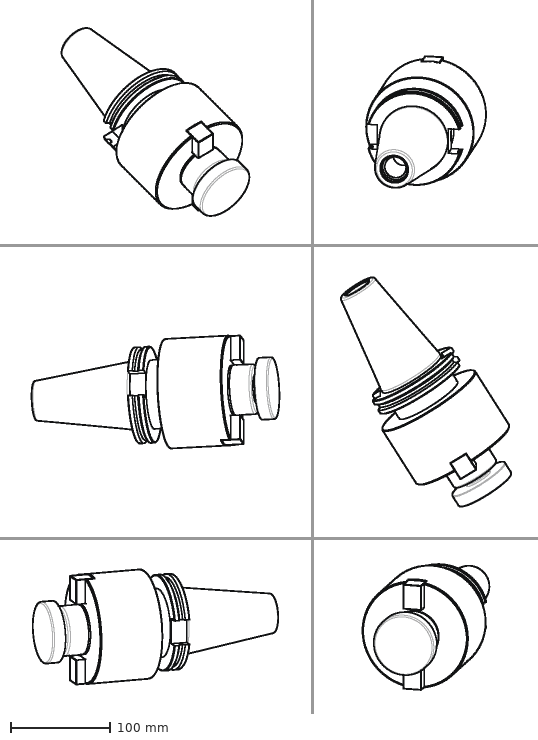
import cadquery as cq
import math

overall_length = 245.5

taper_length = 101.5
gauge_diameter = 69.8
taper_ratio = 7 / 24
taper_end_diameter = gauge_diameter - taper_ratio * taper_length
taper_end_fillet = 2.0

flange_start = 104.6
flange_width = 16.5
flange_end = flange_start + flange_width
flange_diameter = 97.5
flange_chamfer = 0.7
groove_floor_diameter = 91.4
groove_floor_width = 3.2
groove_half_angle = 30.0

slot_width = 25.8
slot_floor_front = 35.4
slot_floor_back = 37.5

body_start = 136.5
body_end = 203.1
body_diameter = 111.0
body_back_chamfer = 0.7
body_front_chamfer = 1.2
pilot_end = 227.0
pilot_diameter = 50.8
relief_diameter = 50.4
relief_width = 2.0
pilot_fillet = 2.0

bore_mouth_diameter = 29.0
bore_diameter = 26.8
seat_diameter = 26.3
seat_start = 3.7
bore_depth = 6.5
thread_diameter = 21.9
thread_depth = 49.1

key_start = 193.3
key_end = 213.2
key_width = 19.2
key_inner = 29.0
key_outer = 54.5
key_chamfer = 0.5

head_start = 231.9
head_diameter = 63.0
head_back_fillet = 0.7
head_front_fillet = 1.5
neck_diameter = 25.3
neck_fillet = 1.5
shank_diameter = neck_diameter + 2 * neck_fillet
shank_depth = 36.8


def cylinder(start, end, diameter):
    """A cylinder on the X axis."""
    return cq.Workplane("YZ", origin=(start, 0, 0)).circle(diameter / 2).extrude(end - start)


def turned(points):
    """A solid of revolution about the X axis from (x, radius) points."""
    return cq.Workplane("XY").polyline(points).close().revolve(360, (0, 0, 0), (1, 0, 0))


def make_taper():
    taper = turned([
        (0, 0),
        (0, taper_end_diameter / 2),
        (taper_length, gauge_diameter / 2),
        (taper_length, 0),
    ])
    return taper.faces("<X").edges().fillet(taper_end_fillet)


def make_flange():
    flange = cylinder(flange_start, flange_end, flange_diameter).edges().chamfer(flange_chamfer)

    middle = (flange_start + flange_end) / 2
    groove_depth = (flange_diameter - groove_floor_diameter) / 2
    floor_half = groove_floor_width / 2
    mouth_half = floor_half + groove_depth * math.tan(math.radians(groove_half_angle))
    groove = turned([
        (middle - mouth_half, flange_diameter / 2),
        (middle - floor_half, groove_floor_diameter / 2),
        (middle + floor_half, groove_floor_diameter / 2),
        (middle + mouth_half, flange_diameter / 2),
    ])
    flange = flange.cut(groove)

    for side, floor in ((-1, slot_floor_front), (1, slot_floor_back)):
        slot_depth = flange_diameter / 2 - floor
        slot = cq.Workplane("XY").box(flange_width, slot_depth, slot_width)
        flange = flange.cut(slot.translate((middle, side * (floor + slot_depth / 2), 0)))
    return flange


def make_body():
    body = cylinder(body_start, body_end, body_diameter)
    body = body.faces("<X").edges().chamfer(body_back_chamfer)
    return body.faces(">X").edges().chamfer(body_front_chamfer)


def make_pilot():
    relief = cylinder(body_end, body_end + relief_width, relief_diameter)
    pilot = cylinder(body_end + relief_width, pilot_end, pilot_diameter)
    return relief.union(pilot.faces(">X").edges().fillet(pilot_fillet))


def make_pull_stud_bore():
    mouth_depth = (bore_mouth_diameter - bore_diameter) / 2
    return turned([
        (0, 0),
        (0, bore_mouth_diameter / 2),
        (mouth_depth, bore_diameter / 2),
        (seat_start, bore_diameter / 2),
        (bore_depth, seat_diameter / 2),
        (bore_depth, thread_diameter / 2),
        (thread_depth, thread_diameter / 2),
        (thread_depth, 0),
    ])


def key_block(side):
    """A key before chamfering, on the +Z (side = 1) or -Z (side = -1) side."""
    length = key_end - key_start
    height = key_outer - key_inner
    block = cq.Workplane("XY").box(length, key_width, height)
    return block.translate((key_start + length / 2, 0, side * (key_inner + height / 2)))


def make_key(side):
    """A key with chamfers around its front face and its outer face."""
    outer_face = ">Z" if side > 0 else "<Z"
    return key_block(side).faces(f">X or {outer_face}").edges().chamfer(key_chamfer)


def make_key_seat(side):
    """The cutter for one key's recess, open at the front and outer side of the body."""
    height = body_diameter / 2 - key_inner
    seat = cq.Workplane("XY").box(key_end - key_start, key_width, height)
    return seat.translate(((key_start + key_end) / 2, 0, side * (key_inner + height / 2)))


def make_holder():
    collar = cylinder(taper_length, body_start, gauge_diameter)
    holder = make_taper().union(collar).union(make_flange()).union(make_body()).union(make_pilot())
    holder = holder.cut(make_pull_stud_bore())
    holder = holder.cut(cylinder(pilot_end - shank_depth, pilot_end, shank_diameter))
    for side in (1, -1):
        holder = holder.cut(make_key_seat(side))
    return holder


def make_screw():
    head = cylinder(head_start, overall_length, head_diameter)
    head = head.faces("<X").edges().fillet(head_back_fillet)
    head = head.faces(">X").edges().fillet(head_front_fillet)

    shank_radius = shank_diameter / 2
    neck_radius = neck_diameter / 2
    arc_offset = neck_fillet * (1 - math.sqrt(0.5))
    stem = (
        cq.Workplane("XY")
        .moveTo(pilot_end - shank_depth, 0)
        .lineTo(pilot_end - shank_depth, shank_radius)
        .lineTo(pilot_end, shank_radius)
        .threePointArc(
            (pilot_end + arc_offset, neck_radius + arc_offset),
            (pilot_end + neck_fillet, neck_radius),
        )
        .lineTo(head_start - neck_fillet, neck_radius)
        .threePointArc(
            (head_start - arc_offset, neck_radius + arc_offset),
            (head_start, shank_radius),
        )
        .lineTo(head_start, 0)
        .close()
        .revolve(360, (0, 0, 0), (1, 0, 0))
    )
    return head.union(stem)


holder = make_holder()
screw = make_screw()
keys = [make_key(side) for side in (1, -1)]

result = cq.Compound.makeCompound([holder.val(), screw.val(), *[key.val() for key in keys]])